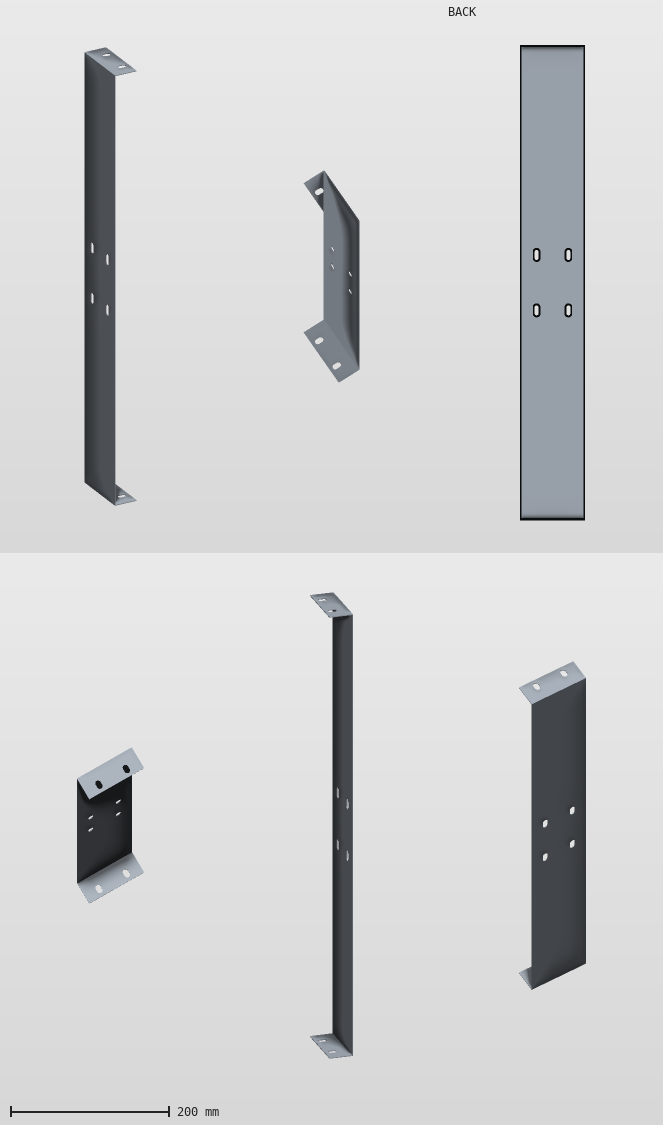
import cadquery as cq

width = 80.0
depth = 31.0
height = 597.0
thickness = 1.0

slot_width = 7.0
column_spacing = 40.0
web_slot_length = 15.0
web_row_spacing = 70.0
flange_slot_length = 11.5
flange_slot_edge_distance = 10.0


def make_channel():
    """Upright web at the -Y side with a flange toward +Y at each end."""
    outer = cq.Workplane("XY").box(width, depth, height)
    inner = cq.Workplane("XY").box(width, depth, height - 2 * thickness)
    return outer.cut(inner.translate((0, thickness, 0)))


def web_slots():
    """Vertical slots, two columns by two rows, through the web."""
    return (
        cq.Workplane("XZ")
        .rarray(column_spacing, web_row_spacing, 2, 2)
        .slot2D(web_slot_length, slot_width, 90)
        .extrude(depth, both=True)
    )


def flange_slots():
    """Slots running along Y, one pair through both flanges."""
    slot_y = depth / 2 - flange_slot_edge_distance
    return (
        cq.Workplane("XY")
        .center(0, slot_y)
        .rarray(column_spacing, 6, 2, 1)
        .slot2D(flange_slot_length, slot_width, 90)
        .extrude(height, both=True)
    )


result = make_channel().cut(web_slots()).cut(flange_slots())